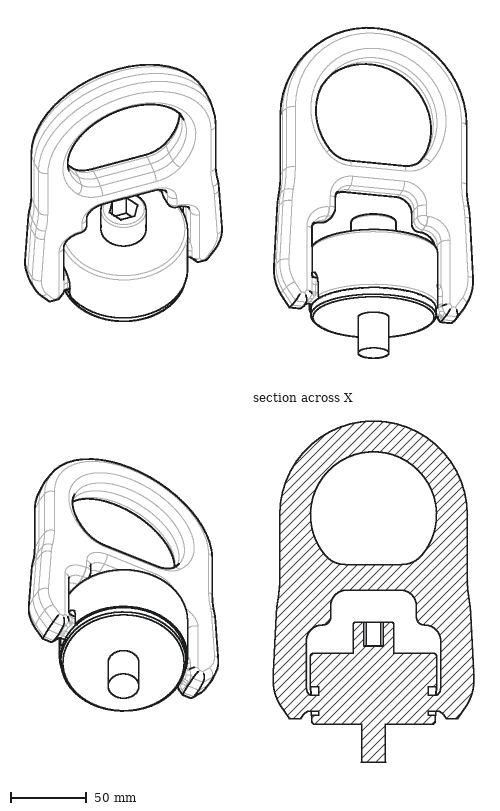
import cadquery as cq
import math

total_height = 226.5
link_width = 134.4
link_half_thickness = 11.3
draft_angle = 5.0
link_fillet = 5.0

bow_radius = 62.8
bow_center_z = total_height - bow_radius

straight_end = (bow_radius, 121.7)
flare_end = (64.1, 106.5)
leg_start = (65.0, 98.0)
leg_end = (link_width / 2, 56.5)
toe_arc_end = (62.5, 37.8)
foot_bottom_z = 28.3
toe_tip = (56.0, foot_bottom_z)
foot_inner = (47.8, foot_bottom_z)
foot_bevel_top_z = 34.2

opening_radius = 41.0
opening_flat_z = 131.7
opening_flat_half = 18.8

gap_half_width = 43.7
gap_shoulder_z = 90.2
gap_top_half_width = 27.6
gap_top_z = 113.3
gap_corner_radius = 9.7
gap_step_radius = 6.1

body_diameter = 85.0
body_radius = body_diameter / 2
body_bottom_z = 31.3
body_top_z = 72.3
body_fillet = 2.0
ring_radius = 41.5
ring_bottom_z = 25.2
ring_chamfer = 1.4
shank_radius = 10.2
head_radius = 15.0
head_top_z = 93.0
head_fillet = 1.4
socket_sides = 6
socket_across_flats = 17.0
socket_depth = 15.9

trunnion_axis_z = 41.7
trunnion_half_width = 7.0
trunnion_lower_fillet = 5.0
trunnion_root_fillet = 3.5
pocket_clearance = 3.5
pocket_inner_y = 36.3
trunnion_embedding = 1.1
trunnion_inner_y = pocket_inner_y - trunnion_embedding
trunnion_outer_y = 48.7
trunnion_joint_depth = 2.0

overshoot = 2.3
pick_margin = 0.11


def mirrored(point):
    return (-point[0], point[1])


def outer_profile():
    """Closed outline of the link, including the stepped gap between the legs."""
    flare_angle = 2 * math.atan2(flare_end[0] - bow_radius, straight_end[1] - flare_end[1])
    flare_direction = (math.sin(flare_angle), -math.cos(flare_angle))
    leg_direction = (leg_end[0] - leg_start[0], leg_end[1] - leg_start[1])

    def middle_of_arc(start, end, direction):
        """Point halfway along the arc that leaves start in the given direction."""
        chord_x = end[0] - start[0]
        chord_z = end[1] - start[1]
        chord_angle = math.atan2(chord_z, chord_x)
        half_turn = chord_angle - math.atan2(direction[1], direction[0])
        bulge = math.hypot(chord_x, chord_z) / 2 * math.tan(half_turn / 2)
        return (
            (start[0] + end[0]) / 2 + bulge * math.sin(chord_angle),
            (start[1] + end[1]) / 2 - bulge * math.cos(chord_angle),
        )

    flare_middle = middle_of_arc(straight_end, flare_end, (0, -1))
    blend_middle = middle_of_arc(flare_end, leg_start, flare_direction)
    toe_middle = middle_of_arc(leg_end, toe_arc_end, leg_direction)

    diagonal = math.sqrt(0.5)
    shoulder_corner = (gap_half_width - gap_corner_radius, gap_shoulder_z - gap_corner_radius)
    step_center = (gap_top_half_width + gap_step_radius, gap_shoulder_z + gap_step_radius)
    top_corner = (gap_top_half_width - gap_corner_radius, gap_top_z - gap_corner_radius)

    def on_arc(center, radius, sign):
        return (center[0] + sign * radius * diagonal, center[1] + sign * radius * diagonal)

    half = [
        (straight_end, None),
        (flare_end, flare_middle),
        (leg_start, blend_middle),
        (leg_end, None),
        (toe_arc_end, toe_middle),
        (toe_tip, None),
        (foot_inner, None),
        ((gap_half_width, foot_bevel_top_z), None),
        ((gap_half_width, shoulder_corner[1]), None),
        ((shoulder_corner[0], gap_shoulder_z), on_arc(shoulder_corner, gap_corner_radius, 1)),
        ((step_center[0], gap_shoulder_z), None),
        ((gap_top_half_width, step_center[1]), on_arc(step_center, gap_step_radius, -1)),
        ((gap_top_half_width, top_corner[1]), None),
        ((top_corner[0], gap_top_z), on_arc(top_corner, gap_corner_radius, 1)),
    ]

    bow_end = (bow_radius, bow_center_z)
    outline = cq.Workplane("YZ").moveTo(*mirrored(bow_end))
    outline = outline.threePointArc((0, total_height), bow_end)
    for end, middle in half:
        outline = outline.threePointArc(middle, end) if middle else outline.lineTo(*end)
    outline = outline.lineTo(*mirrored(half[-1][0]))
    for (_, middle), (previous, _) in zip(half[:0:-1], half[-2::-1]):
        end = mirrored(previous)
        outline = outline.threePointArc(mirrored(middle), end) if middle else outline.lineTo(*end)
    return outline.close()


def opening_profile():
    """Closed outline of the ring opening."""
    drop = bow_center_z - opening_flat_z
    corner_radius = (opening_radius**2 - opening_flat_half**2 - drop**2) / (2 * (opening_radius - drop))
    corner_z = opening_flat_z + corner_radius
    angle = math.atan2(corner_z - bow_center_z, opening_flat_half)
    tangent = (opening_radius * math.cos(angle), bow_center_z + opening_radius * math.sin(angle))
    middle_angle = (angle - math.pi / 2) / 2
    corner_middle = (
        opening_flat_half + corner_radius * math.cos(middle_angle),
        corner_z + corner_radius * math.sin(middle_angle),
    )
    flat_end = (opening_flat_half, opening_flat_z)
    return (
        cq.Workplane("YZ")
        .moveTo(*mirrored(flat_end))
        .lineTo(*flat_end)
        .threePointArc(corner_middle, tangent)
        .threePointArc((0, bow_center_z + opening_radius), mirrored(tangent))
        .threePointArc(mirrored(corner_middle), mirrored(flat_end))
        .close()
    )


def make_link():
    plate = outer_profile().extrude(link_half_thickness, taper=draft_angle)
    opening = opening_profile().extrude(link_half_thickness, taper=-draft_angle)
    half_link = plate.cut(opening).faces(">X").edges().fillet(link_fillet)
    return half_link.union(half_link.mirror("YZ"))


def make_body():
    body = (
        cq.Workplane("XY", origin=(0, 0, body_bottom_z))
        .circle(body_radius)
        .extrude(body_top_z - body_bottom_z)
        .faces(">Z")
        .edges()
        .fillet(body_fillet)
    )
    for side in (1, -1):
        pocket = arch(trunnion_half_width + pocket_clearance, pocket_inner_y, body_radius + overshoot, side)
        body = body.cut(pocket)
    lower_rim = cq.selectors.BoxSelector(
        (-body_radius - overshoot, -overshoot, body_bottom_z - overshoot),
        (-body_radius / 2, overshoot, body_bottom_z + overshoot),
    )
    return body.edges(lower_rim).fillet(body_fillet)


def arch(half_width, inner_y, outer_y, side):
    """Round-topped block along Y, standing on the bottom plane of the body."""
    return (
        cq.Workplane("XZ", origin=(0, side * inner_y, 0))
        .moveTo(-half_width, body_bottom_z)
        .lineTo(half_width, body_bottom_z)
        .lineTo(half_width, trunnion_axis_z)
        .threePointArc((0, trunnion_axis_z + half_width), (-half_width, trunnion_axis_z))
        .close()
        .extrude(-side * (outer_y - inner_y))
    )


def make_trunnion(side):
    block = arch(trunnion_half_width, trunnion_inner_y, trunnion_outer_y, side)
    return block.edges("|Y and <Z").fillet(trunnion_lower_fillet)


def make_ring():
    return (
        cq.Workplane("XY", origin=(0, 0, ring_bottom_z))
        .circle(ring_radius)
        .extrude(body_bottom_z - ring_bottom_z)
        .faces("<Z")
        .edges()
        .chamfer(ring_chamfer)
    )


def make_screw():
    shank = cq.Workplane("XY").circle(shank_radius).extrude(body_top_z)
    head = (
        cq.Workplane("XY", origin=(0, 0, body_top_z))
        .circle(head_radius)
        .extrude(head_top_z - body_top_z)
        .faces(">Z")
        .edges()
        .fillet(head_fillet)
    )
    socket = (
        cq.Workplane("XY", origin=(0, 0, head_top_z))
        .polygon(socket_sides, socket_across_flats, circumscribed=True)
        .extrude(-socket_depth)
    )
    return shank.union(head).cut(socket)


def add_trunnions(link):
    """Join both trunnions to the legs and round the corner where they meet."""
    joint_half_width = trunnion_half_width + pick_margin
    joint_low_z = body_bottom_z + pick_margin
    joint_high_z = trunnion_axis_z + trunnion_half_width + pick_margin
    for side in (1, -1):
        link = link.union(make_trunnion(side))
        around_joint = cq.selectors.BoxSelector(
            (-joint_half_width, side * (gap_half_width - pick_margin), joint_low_z),
            (joint_half_width, side * (gap_half_width + trunnion_joint_depth), joint_high_z),
        )
        link = link.edges(around_joint).edges("not %LINE").fillet(trunnion_root_fillet)
    return link


link = add_trunnions(make_link())
result = make_body().union(make_ring()).union(make_screw()).union(link)